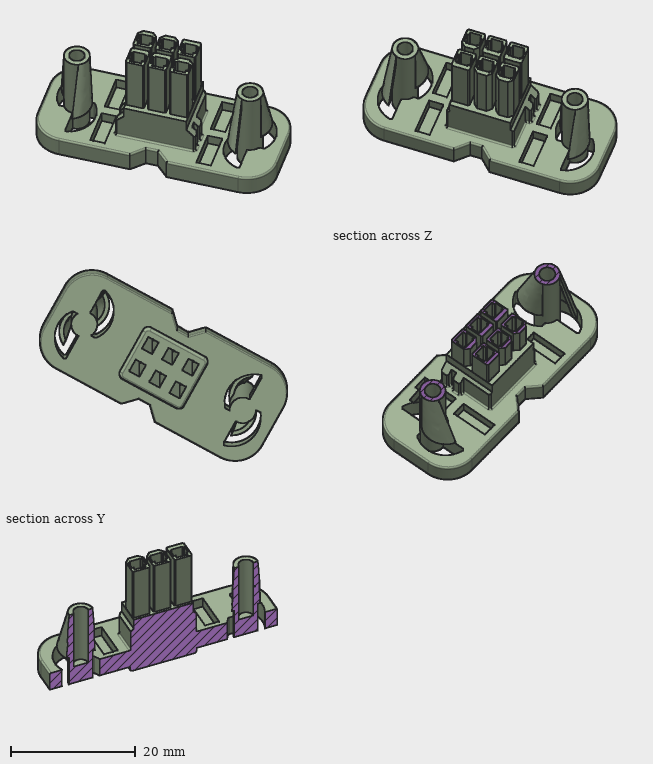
import cadquery as cq
PLATE_LENGTH = 40.03
PLATE_WIDTH = 17.02
PLATE_THICKNESS = 3.5
PLATE_CORNER_RADIUS = 5.0
PLATE_TOP_EDGE_FILLET = 0.3
PLATE_BOTTOM_EDGE_FILLET = 0.2

NOTCH_DEPTH = 2.05
NOTCH_FLOOR_WIDTH = 2.0

POCKET_LENGTH_X = 2.45
POCKET_LENGTH_Y = 6.4
POCKET_DEPTH = PLATE_THICKNESS / 2
POCKET_CENTRE_X = 8.88
POCKET_CENTRE_Y = 4.0

HOUSING_TOP = 9.68
HOUSING_WIDTH_Y = 9.45
HOUSING_HALF_LENGTH = 5.76
HOUSING_TOP_HALF_LENGTH = 5.24
SHOULDER_TOP = 7.85
HOUSING_BASE_FILLET = 0.3
HOUSING_CORNER_CHAMFER = 0.25

TAB_HALF_LENGTH = 6.68
TAB_CORNER_CHAMFER = 0.25
TAB_SPANS_Y = ((-2.3, -0.75), (-HOUSING_WIDTH_Y / 2, -3.25))

FLANGE_LENGTH = 11.7
FLANGE_WIDTH = 9.55
FLANGE_HEIGHT = 0.97
FLANGE_CORNER_RADIUS = 0.95
FLANGE_EDGE_FILLET = 0.45

TUBE_TOP = 19.26
TUBE_LENGTH_X = 3.1
TUBE_LENGTH_Y = 3.46
TUBE_PITCH_X = 3.68
TUBE_PITCH_Y = 4.22
TUBE_KEY_CHAMFER = 0.75
TUBE_EDGE_CHAMFER = 0.22
KEYED_TUBES = ((-1, 1), (0, 1), (1, -1))
BORE_LENGTH_X = 1.88
BORE_LENGTH_Y = 2.16
BORE_OFFSET_Y = -0.17
BORE_GROOVE_SPAN_X = 2.5
BORE_GROOVE_WIDTH_Y = 1.4

PEG_DIAMETER = 4.19
PEG_HOLE_DIAMETER = 2.5
PEG_CENTRE_X = 14.5
PEG_TOP = 14.48
WING_BOTTOM = 5.58
WING_FOOT_RADIUS = 4.0
WING_FOOT_CENTRE = (1.0, 1.9)
WING_THICKNESS = 0.75
WING_SIDE_X = -0.82
WING_END_Y = -0.69

SLOT_CLEARANCE = 0.7
SLOT_SIDE_X = 0.1
SLOT_END_Y = -1.05
SLOT_CORNER_RADIUS = 0.3


def box_between(x_min, x_max, y_min, y_max, z_min, z_max):
    """Box given by its limits along each axis."""
    size = (x_max - x_min, y_max - y_min, z_max - z_min)
    return cq.Workplane("XY").box(*size, centered=False).translate((x_min, y_min, z_min))


def make_plate():
    """Rounded plate with notches, rounded rims and pockets."""
    plate = (
        cq.Workplane("XY")
        .rect(PLATE_LENGTH, PLATE_WIDTH)
        .extrude(PLATE_THICKNESS)
        .edges("|Z")
        .fillet(PLATE_CORNER_RADIUS)
    )
    edge_y = PLATE_WIDTH / 2
    floor_half = NOTCH_FLOOR_WIDTH / 2
    mouth_half = floor_half + NOTCH_DEPTH
    for side in (-1, 1):
        notch = (
            cq.Workplane("XY")
            .moveTo(-mouth_half, side * edge_y)
            .lineTo(-floor_half, side * (edge_y - NOTCH_DEPTH))
            .lineTo(floor_half, side * (edge_y - NOTCH_DEPTH))
            .lineTo(mouth_half, side * edge_y)
            .close()
            .extrude(PLATE_THICKNESS)
        )
        plate = plate.cut(notch)
    plate = plate.faces(">Z").edges().fillet(PLATE_TOP_EDGE_FILLET)
    plate = plate.faces("<Z").edges().fillet(PLATE_BOTTOM_EDGE_FILLET)

    pocket_centres = [
        (x_side * POCKET_CENTRE_X, y_side * POCKET_CENTRE_Y) for x_side in (-1, 1) for y_side in (-1, 1)
    ]
    pockets = (
        cq.Workplane("XY", origin=(0, 0, PLATE_THICKNESS - POCKET_DEPTH))
        .pushPoints(pocket_centres)
        .rect(POCKET_LENGTH_X, POCKET_LENGTH_Y)
        .extrude(POCKET_DEPTH)
    )
    return plate.cut(pockets)


def make_housing():
    """Housing with end tabs, trimmed by a profile with 45 degree shoulders."""
    half_width = HOUSING_WIDTH_Y / 2
    footprint = box_between(
        -HOUSING_HALF_LENGTH, HOUSING_HALF_LENGTH, -half_width, half_width, PLATE_THICKNESS, HOUSING_TOP
    )
    footprint = footprint.edges("|Z and >Y").chamfer(HOUSING_CORNER_CHAMFER)
    for y_min, y_max in TAB_SPANS_Y:
        tab = box_between(-TAB_HALF_LENGTH, TAB_HALF_LENGTH, y_min, y_max, PLATE_THICKNESS, HOUSING_TOP)
        footprint = footprint.union(tab.edges("|Z").chamfer(TAB_CORNER_CHAMFER))

    shoulder_bottom = SHOULDER_TOP - (TAB_HALF_LENGTH - HOUSING_TOP_HALF_LENGTH)
    profile = (
        cq.Workplane("XZ")
        .moveTo(-TAB_HALF_LENGTH, PLATE_THICKNESS)
        .lineTo(TAB_HALF_LENGTH, PLATE_THICKNESS)
        .lineTo(TAB_HALF_LENGTH, shoulder_bottom)
        .lineTo(HOUSING_TOP_HALF_LENGTH, SHOULDER_TOP)
        .lineTo(HOUSING_TOP_HALF_LENGTH, HOUSING_TOP)
        .lineTo(-HOUSING_TOP_HALF_LENGTH, HOUSING_TOP)
        .lineTo(-HOUSING_TOP_HALF_LENGTH, SHOULDER_TOP)
        .lineTo(-TAB_HALF_LENGTH, shoulder_bottom)
        .close()
        .extrude(half_width, both=True)
    )
    return footprint.intersect(profile)


def add_housing(plate):
    """Join the housing to the plate and round the corner where they meet."""
    joined = plate.union(make_housing())
    reach_x = TAB_HALF_LENGTH + HOUSING_BASE_FILLET
    reach_y = HOUSING_WIDTH_Y / 2 + HOUSING_BASE_FILLET
    margin = HOUSING_BASE_FILLET / 3
    base_edges = cq.selectors.BoxSelector(
        (-reach_x, -reach_y, PLATE_THICKNESS - margin),
        (reach_x, reach_y, PLATE_THICKNESS + margin),
    )
    return joined.edges(base_edges).fillet(HOUSING_BASE_FILLET)


def make_flange():
    """Rounded pad below the plate."""
    return (
        cq.Workplane("XY")
        .rect(FLANGE_LENGTH, FLANGE_WIDTH)
        .extrude(-FLANGE_HEIGHT)
        .edges("|Z")
        .fillet(FLANGE_CORNER_RADIUS)
        .faces("<Z")
        .edges()
        .fillet(FLANGE_EDGE_FILLET)
    )


def make_tube(keyed):
    """Contact tube on the housing top; a keyed tube has large chamfers on its +Y corners."""
    tube = (
        cq.Workplane("XY", origin=(0, 0, HOUSING_TOP))
        .rect(TUBE_LENGTH_X, TUBE_LENGTH_Y)
        .extrude(TUBE_TOP - HOUSING_TOP)
    )
    back_chamfer = TUBE_KEY_CHAMFER if keyed else TUBE_EDGE_CHAMFER
    tube = tube.edges("|Z and >Y").chamfer(back_chamfer)
    return tube.edges("|Z and <Y").chamfer(TUBE_EDGE_CHAMFER)


def make_bore():
    """Through bore with a groove in each side wall over the length of the tube."""
    bore = (
        cq.Workplane("XY", origin=(0, BORE_OFFSET_Y, -FLANGE_HEIGHT))
        .rect(BORE_LENGTH_X, BORE_LENGTH_Y)
        .extrude(TUBE_TOP + FLANGE_HEIGHT)
    )
    grooves = (
        cq.Workplane("XY", origin=(0, 0, HOUSING_TOP))
        .rect(BORE_GROOVE_SPAN_X, BORE_GROOVE_WIDTH_Y)
        .extrude(TUBE_TOP - HOUSING_TOP)
    )
    return bore.union(grooves)


def add_tubes(part):
    """Add the six tubes and cut their bores through the part."""
    bore = make_bore()
    for row in (-1, 1):
        for column in (-1, 0, 1):
            place = (column * TUBE_PITCH_X, row * TUBE_PITCH_Y / 2, 0)
            tube = make_tube((column, row) in KEYED_TUBES)
            part = part.union(tube.translate(place)).cut(bore.translate(place))
    return part


def make_wing_cone(inset):
    """Slanted cone from the peg top out to the wing foot, shrunk radially by the inset."""
    return (
        cq.Workplane("XY", origin=(0, 0, PEG_TOP))
        .circle(PEG_DIAMETER / 2 - inset)
        .workplane(offset=WING_BOTTOM - PEG_TOP)
        .center(*WING_FOOT_CENTRE)
        .circle(WING_FOOT_RADIUS - inset)
        .loft(ruled=True)
    )


def make_wing():
    """Thin slanted shell on the -X +Y side of a peg standing on the Z axis."""
    reach = 2 * WING_FOOT_RADIUS
    keep = box_between(-reach, WING_SIDE_X, WING_END_Y, reach, WING_BOTTOM, PEG_TOP)
    return make_wing_cone(0).cut(make_wing_cone(WING_THICKNESS)).intersect(keep)


def make_slot():
    """Clearance below one wing, following the arc of the wing foot."""
    reach = 2 * WING_FOOT_RADIUS
    sector = box_between(-reach, SLOT_SIDE_X, SLOT_END_Y, reach, 0, PLATE_THICKNESS)
    disc = (
        cq.Workplane("XY")
        .center(*WING_FOOT_CENTRE)
        .circle(WING_FOOT_RADIUS + SLOT_CLEARANCE)
        .extrude(PLATE_THICKNESS)
    )
    return disc.intersect(sector).edges("|Z").fillet(SLOT_CORNER_RADIUS)


def add_pegs(part):
    """Cut the wing slots and add both pegs, mirror images of each other, with two opposite wings each."""
    wing = make_wing()
    slot = make_slot()
    peg = cq.Workplane("XY").circle(PEG_DIAMETER / 2).extrude(PEG_TOP)
    slots = slot
    for angle in (0, 180):
        peg = peg.union(wing.rotate((0, 0, 0), (0, 0, 1), angle))
        slots = slots.union(slot.rotate((0, 0, 0), (0, 0, 1), angle))
    hole = (
        cq.Workplane("XY", origin=(0, 0, PLATE_THICKNESS))
        .circle(PEG_HOLE_DIAMETER / 2)
        .extrude(PEG_TOP - PLATE_THICKNESS)
    )
    left_place = (-PEG_CENTRE_X, 0, 0)
    left_slots = slots.translate(left_place)
    left_peg = peg.cut(hole).translate(left_place)
    part = part.cut(left_slots).cut(left_slots.mirror("YZ"))
    return part.union(left_peg).union(left_peg.mirror("YZ"))


body = add_housing(make_plate()).union(make_flange())
result = add_pegs(add_tubes(body))